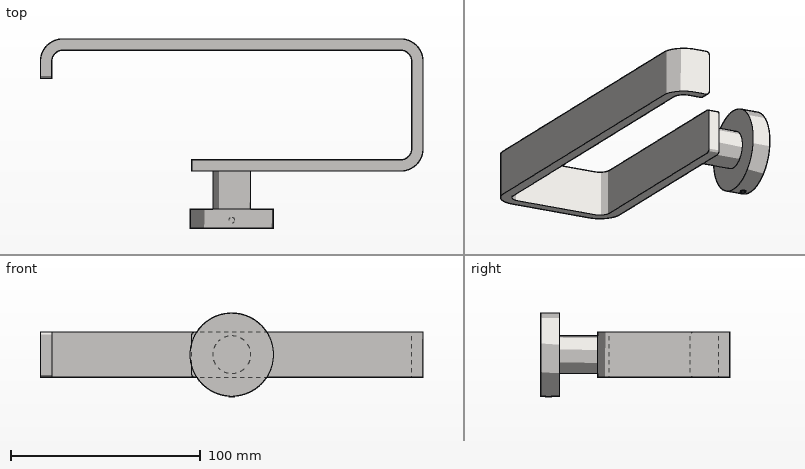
import cadquery as cq

length = 202.0
depth = 100.0

strap_width = 24.0
strap_thickness = 6.0
bend_outer_radius = 12.0
bend_inner_radius = bend_outer_radius - strap_thickness
hook_depth = 21.0
short_arm_start = 79.8
end_corner_radius = 2.0
pick_margin = 0.2

mount_x = length / 2
plate_diameter = 44.0
plate_thickness = 10.0
stem_diameter = 20.0
stem_length = 20.0

screw_diameter = 3.0
screw_y = 4.2
screw_depth = 6.0
screw_projection = 0.5

short_arm_y = plate_thickness + stem_length


def make_strap():
    """Bent strap, centred on Z = 0, with rounded corners at both free ends."""
    inner_right = length - strap_thickness
    inner_back = depth - strap_thickness
    hook_tip_y = depth - hook_depth
    short_arm_back = short_arm_y + strap_thickness
    strap = (
        cq.Workplane("XY")
        .moveTo(short_arm_start, short_arm_y)
        .lineTo(length - bend_outer_radius, short_arm_y)
        .radiusArc((length, short_arm_y + bend_outer_radius), -bend_outer_radius)
        .lineTo(length, depth - bend_outer_radius)
        .radiusArc((length - bend_outer_radius, depth), -bend_outer_radius)
        .lineTo(bend_outer_radius, depth)
        .radiusArc((0, depth - bend_outer_radius), -bend_outer_radius)
        .lineTo(0, hook_tip_y)
        .lineTo(strap_thickness, hook_tip_y)
        .lineTo(strap_thickness, inner_back - bend_inner_radius)
        .radiusArc((strap_thickness + bend_inner_radius, inner_back), bend_inner_radius)
        .lineTo(inner_right - bend_inner_radius, inner_back)
        .radiusArc((inner_right, inner_back - bend_inner_radius), bend_inner_radius)
        .lineTo(inner_right, short_arm_back + bend_inner_radius)
        .radiusArc((inner_right - bend_inner_radius, short_arm_back), bend_inner_radius)
        .lineTo(short_arm_start, short_arm_back)
        .close()
        .extrude(strap_width / 2, both=True)
    )
    hook_end = cq.selectors.BoxSelector(
        (-pick_margin, hook_tip_y - pick_margin, -strap_width),
        (strap_thickness + pick_margin, hook_tip_y + pick_margin, strap_width)
    )
    short_arm_end = cq.selectors.BoxSelector(
        (short_arm_start - pick_margin, short_arm_y - pick_margin, -strap_width),
        (short_arm_start + pick_margin, short_arm_back + pick_margin, strap_width),
    )
    strap = strap.edges(hook_end).edges("|X").fillet(end_corner_radius)
    return strap.edges(short_arm_end).edges("|Y").fillet(end_corner_radius)


def make_mount():
    """Wall plate, stem and grub screw; the plate's front face lies on Y = 0."""
    plate = (
        cq.Workplane("XZ")
        .center(mount_x, 0)
        .circle(plate_diameter / 2)
        .extrude(-plate_thickness)
    )
    stem = (
        cq.Workplane("XZ", origin=(mount_x, plate_thickness, 0))
        .circle(stem_diameter / 2)
        .extrude(-stem_length)
    )
    screw = (
        cq.Workplane("XY", origin=(mount_x, screw_y, -plate_diameter / 2 - screw_projection))
        .circle(screw_diameter / 2)
        .extrude(screw_depth)
    )
    return plate.union(stem).union(screw)


result = make_strap().union(make_mount())